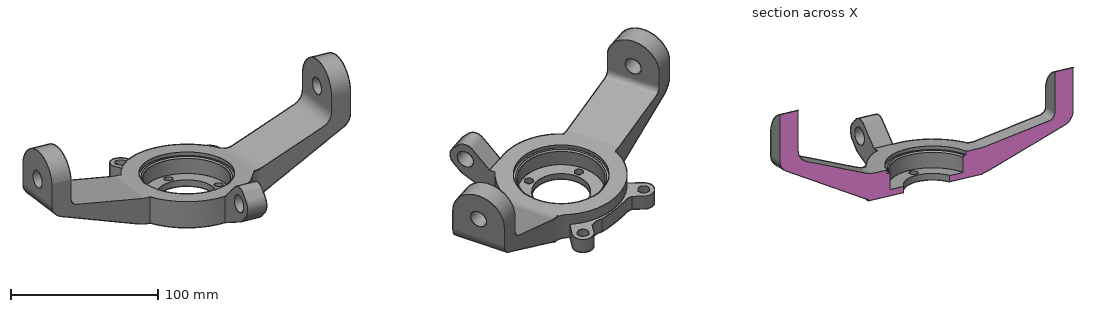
import cadquery as cq
import math

hub_radius = 45.0
hub_height = 20.0
floor_thickness = 5.0
opening_diameter = 40.0
bore_diameter = 60.0
seat_diameter = 65.0
seat_depth = 2.5
bore_chamfer = 1.05
bolt_circle_radius = 25.0
bolt_hole_diameter = 6.0

half_length = 117.0
arm_width = opening_diameter
ear_thickness = 15.0
ear_hole_diameter = 12.5
outer_bend_radius = 10.0
rear_height = 81.0
rear_under_slope = 0.542
rear_top_slope = 0.4
rear_inner_bend_radius = 10.0
rear_blend_radius = 20.0
arm_root_fillet = 10.0
front_height = 64.9
front_cap_rise = 16.9
front_hole_height = 43.3
front_under_slope = 0.335
front_top_slope = 0.155
front_inner_bend_radius = 5.0
front_blend_radius = 30.0

lug_thickness = 15.0
lug_rear_y = 19.5
lug_hole_x = 63.7
lug_hole_z = 22.2
lug_hole_diameter = 12.6
lug_reach = 15.7
lug_foot_x = 67.0
lug_top_radius = 7.5
lug_tip_radius = 9.0

plate_thickness = 11.2
plate_ear_radius = 7.5
plate_hole_diameter = 8.0
rear_ear = (-38.9, 40.0)
rear_ear_angle = -53.0
front_ear = (-52.0, -22.0)
front_ear_angle = 30.0
plate_ear_length = 21.0


def arm(direction, height, cap_rise, slopes, inner_radius, blend_z, blend_radius):
    """Arm reaching out along Y; direction is +1 (rear) or -1 (front).

    blend_z is the height of the one hub-side crease that is rounded.
    """
    under_slope, top_slope = slopes
    inner_y = half_length - ear_thickness
    inner_corner_z = hub_height + top_slope * (inner_y - hub_radius)
    outer_corner_z = under_slope * (half_length - hub_radius)
    profile = [
        (opening_diameter / 2, 0),
        (hub_radius, 0),
        (half_length, outer_corner_z),
        (half_length, height),
        (inner_y, height),
        (inner_y, inner_corner_z),
        (hub_radius, hub_height),
        (opening_diameter / 2, hub_height),
    ]
    body = (
        cq.Workplane("YZ")
        .polyline([(direction * y, z) for y, z in profile])
        .close()
        .extrude(arm_width / 2, both=True)
    )

    def bend(part, y, z, radius):
        corner = cq.selectors.NearestToPointSelector((0, direction * y, z))
        return part.edges("|X").edges(corner).fillet(radius)

    body = bend(body, half_length, outer_corner_z, outer_bend_radius)
    body = bend(body, inner_y, inner_corner_z, inner_radius)
    body = bend(body, hub_radius, blend_z, blend_radius)

    shoulder_z = height - cap_rise
    ear_outline = (
        cq.Workplane("XZ")
        .moveTo(-arm_width / 2, 0)
        .lineTo(-arm_width / 2, shoulder_z)
        .threePointArc((0, height), (arm_width / 2, shoulder_z))
        .lineTo(arm_width / 2, 0)
        .close()
        .extrude(half_length, both=True)
    )
    return body.intersect(ear_outline)


def ear_hole(direction, height):
    length = 2 * ear_thickness
    start = (0, direction * (half_length - length), height)
    return cq.Workplane(
        cq.Solid.makeCylinder(
            ear_hole_diameter / 2, length, cq.Vector(start), cq.Vector(0, direction, 0)
        )
    )


def root_fillets():
    """Concave webs that blend the rear arm's sides into the hub."""
    half_width = arm_width / 2
    centre_x = half_width + arm_root_fillet
    centre_y = math.sqrt((hub_radius + arm_root_fillet) ** 2 - centre_x**2)
    share = hub_radius / (hub_radius + arm_root_fillet)
    web = (
        cq.Workplane("XY")
        .polyline([(0, 0), (centre_x * share, centre_y * share), (centre_x, centre_y), (0, centre_y)])
        .close()
        .extrude(hub_height)
        .cut(cq.Workplane("XY").center(centre_x, centre_y).circle(arm_root_fillet).extrude(hub_height))
    )
    return web.union(web.mirror("YZ"))


def steering_lug():
    """Square-ended lug set at 45 degrees around its hole, tapering into the hub."""
    tip_x = lug_hole_x + lug_reach
    foot_z = lug_foot_x - lug_hole_x + lug_hole_z - lug_reach
    outline = [
        (opening_diameter, 0),
        (hub_radius, 0),
        (lug_foot_x, foot_z),
        (tip_x, lug_hole_z),
        (lug_hole_x, lug_hole_z + lug_reach),
        (hub_radius, hub_height),
        (opening_diameter, hub_height),
    ]
    lug = (
        cq.Workplane("XZ", origin=(0, lug_rear_y, 0))
        .polyline(outline)
        .close()
        .extrude(lug_thickness)
    )
    for corner_x, corner_z, radius in [
        (lug_hole_x, lug_hole_z + lug_reach, lug_top_radius),
        (tip_x, lug_hole_z, lug_tip_radius),
        (lug_foot_x, foot_z, lug_tip_radius),
    ]:
        middle = (corner_x, lug_rear_y - lug_thickness / 2, corner_z)
        lug = lug.edges("|Y").edges(cq.selectors.NearestToPointSelector(middle)).fillet(radius)
    hole = (
        cq.Workplane("XZ", origin=(0, lug_rear_y, 0))
        .center(lug_hole_x, lug_hole_z)
        .circle(lug_hole_diameter / 2)
        .extrude(lug_thickness)
    )
    return lug.cut(hole)


def plate_ear(centre, angle):
    """Round-ended ear whose straight sides run from its hole toward the hub."""
    tongue = (
        cq.Workplane("XY")
        .center(plate_ear_length / 2, 0)
        .rect(plate_ear_length, 2 * plate_ear_radius)
        .extrude(plate_thickness)
        .union(cq.Workplane("XY").circle(plate_ear_radius).extrude(plate_thickness))
    )
    return tongue.rotate((0, 0, 0), (0, 0, 1), angle).translate((*centre, 0))


def caliper_plate():
    """Two ears joined by a thin rim that is blended into both of them."""
    rim = (
        cq.Workplane("XY")
        .moveTo(-32.8, 23.5)
        .lineTo(-40.7, 29.7)
        .threePointArc((-40.5, 25.3), (-42.9, 20.4))
        .threePointArc((-45.7, 8.2), (-47.0, -4.5))
        .threePointArc((-47.5, -8.7), (-49.0, -12.0))
        .lineTo(-39.8, -16.5)
        .close()
        .extrude(plate_thickness)
    )
    return rim.union(plate_ear(rear_ear, rear_ear_angle)).union(plate_ear(front_ear, front_ear_angle))


def hub_bore():
    """Stepped bore: wide seat, chamfered bearing bore and through opening."""
    seat_z = hub_height - seat_depth
    bore_radius = bore_diameter / 2
    return (
        cq.Workplane("XZ")
        .polyline([
            (0, 0),
            (opening_diameter / 2, 0),
            (opening_diameter / 2, floor_thickness),
            (bore_radius, floor_thickness),
            (bore_radius, seat_z - bore_chamfer),
            (bore_radius + bore_chamfer, seat_z),
            (seat_diameter / 2, seat_z),
            (seat_diameter / 2, hub_height),
            (0, hub_height),
        ])
        .close()
        .revolve(360, (0, 0, 0), (0, 1, 0))
    )


rear_arm = arm(
    1, rear_height, arm_width / 2, (rear_under_slope, rear_top_slope),
    rear_inner_bend_radius, hub_height, rear_blend_radius,
)
front_arm = arm(
    -1, front_height, front_cap_rise, (front_under_slope, front_top_slope),
    front_inner_bend_radius, 0, front_blend_radius,
)
body = cq.Workplane("XY").circle(hub_radius).extrude(hub_height)
for piece in (rear_arm, front_arm, root_fillets(), steering_lug(), caliper_plate()):
    body = body.union(piece)

bolt_holes = (
    cq.Workplane("XY")
    .polarArray(bolt_circle_radius, 0, 360, 4)
    .circle(bolt_hole_diameter / 2)
    .extrude(floor_thickness)
)
plate_holes = (
    cq.Workplane("XY")
    .pushPoints([rear_ear, front_ear])
    .circle(plate_hole_diameter / 2)
    .extrude(plate_thickness)
)
rear_hole = ear_hole(1, rear_height - arm_width / 2)
front_hole = ear_hole(-1, front_hole_height)
for cutter in (hub_bore(), bolt_holes, plate_holes, rear_hole, front_hole):
    body = body.cut(cutter)

result = body